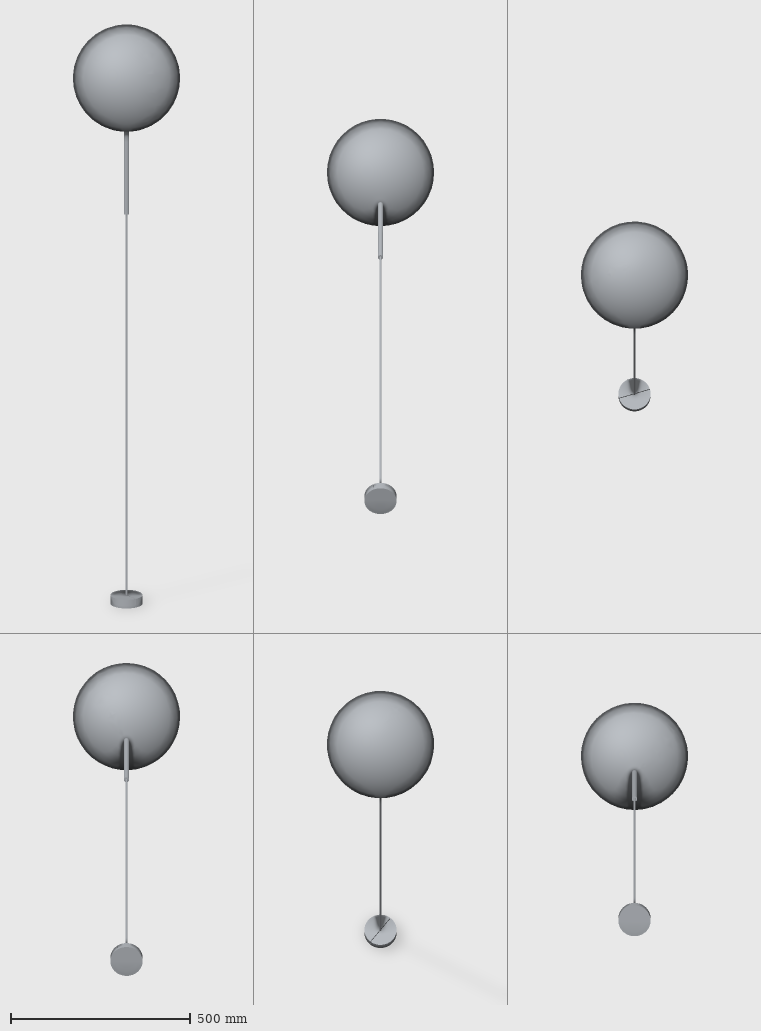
import cadquery as cq

total_height = 1691.0
globe_diameter = 300.0
base_diameter = 90.0
base_height = 25.0
slot_width = 2.0
slot_depth = 17.0
rod_diameter = 6.0
sleeve_diameter = 15.0
sleeve_bottom = 1143.0

globe_radius = globe_diameter / 2
globe_center = total_height - globe_radius


def upright_cylinder(diameter, bottom, top):
    """Solid cylinder on the Z axis between two heights."""
    return cq.Workplane("XY").workplane(offset=bottom).circle(diameter / 2).extrude(top - bottom)


slot = (
    cq.Workplane("XY")
    .box(base_diameter, slot_width, slot_depth, centered=(True, True, False))
    .translate((0, 0, base_height - slot_depth))
)
base = upright_cylinder(base_diameter, 0, base_height).cut(slot)

rod = upright_cylinder(rod_diameter, 0, globe_center)
sleeve = upright_cylinder(sleeve_diameter, sleeve_bottom, globe_center)
globe = cq.Workplane("XY").sphere(globe_radius).translate((0, 0, globe_center))

result = base.union(rod).union(sleeve).union(globe)